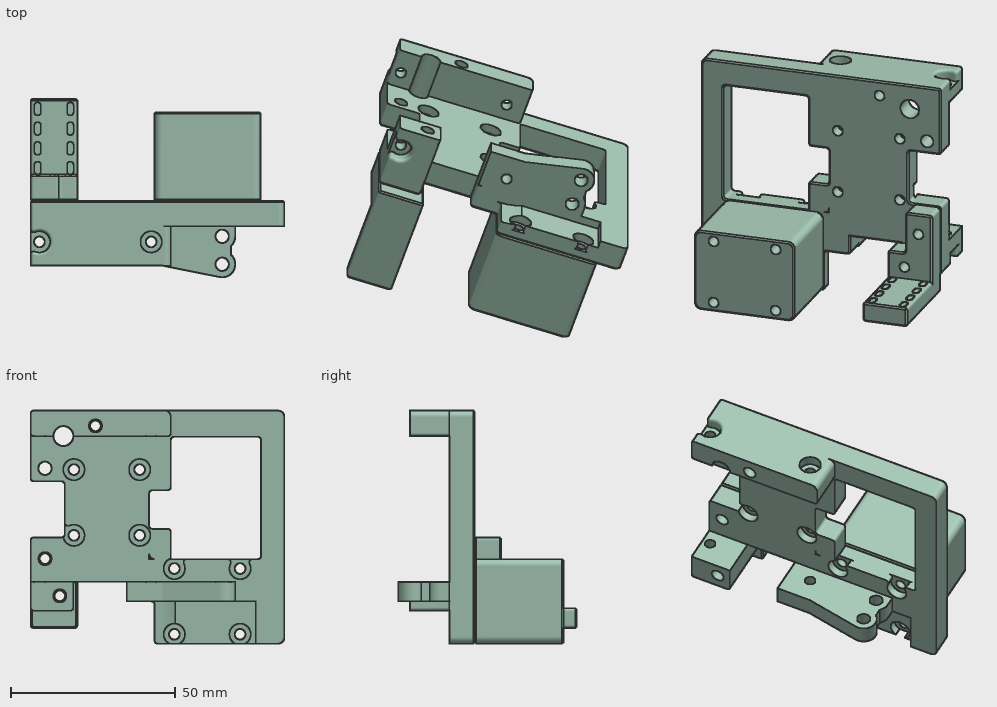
import cadquery as cq
import math

edge_radius = 1.0
outer_radius = 2.0
rim_radius = 0.98
edge_chamfer = 0.5
screw_d = 3.2
insert_d = 4.0
bore_d = 6.5
mouth_radius = 1.0
screw_pitch = 20.0

plate_width = 77.25
plate_height = 70.99
plate_thickness = 7.75
flange_length = 12.0
top_flange_width = 42.7
top_flange_z = 63.15
foot_width = 13.04
foot_z = 10.05
foot_top_z = 18.85
lever_x = 29.2
lever_z = 12.9
base_x = 37.7
notch_x = 10.4
notch_low_z = 32.4
notch_high_z = 49.4
window_left = 42.7
window_right = 70.1
window_low_z = 25.8
window_high_z = 62.95
slot_left = 36.1
slot_low_z = 35.0
slot_high_z = 46.7

carriage_x = 13.2
carriage_z = 33.0
carriage_bore_depth = 2.75
cover_screw_x = 43.75
cover_screw_z = 2.9
recess_bore_depth = 5.0
clamp_x = 4.4
clamp_low_z = 25.9
clamp_high_z = 53.4
foot_insert_x = 8.9
foot_insert_z = 14.6
flange_insert_x = 19.75
flange_insert_z = 66.3
rod_d = 6.0
rod_x = 10.0
rod_z = 63.2
belt_screw_x = 2.7
belt_screw_pitch = 34.0
belt_screw_y = -4.75
top_bore_depth = 3.3
foot_bore_depth = 4.0
relief_radius = 1.4

recess_depth = 2.4
recess_deep = 3.5
recess_flat_x = 44.0
recess_right = 68.45

lever_tip_x = 58.3
lever_tip_radius = 4.0
lever_hole_d = 4.0
lever_hole_y = -3.06
lever_hole_pitch = 8.5
lever_bend_x = 40.1
lever_neck_x = 61.0

bracket_width = 14.3
bracket_z = 4.75
bracket_wall = 8.0
bracket_length = 31.0
arm_top_z = 10.85
step_x = 8.6
shoulder_z = 19.25
step_radius = 1.2
slot_length = 4.0
slot_width = 2.0
slot_depth = 0.2
slot_count = 4
slot_pitch = 6.0
slot_first_y = 17.7
slot_column_x = (2.15, 12.1)

cover_right = 70.0
cover_corner_radius = 2.2
cover_length = 27.0


def rounded_prism(corners, y_front, y_back):
    """Extrude a closed XZ outline along Y; each corner is (x, z, rounding radius)."""
    stretches = []
    for i, (x, z, radius) in enumerate(corners):
        here = cq.Vector(x, z)
        to_last = (cq.Vector(*corners[i - 1][:2]) - here).normalized()
        to_next = (cq.Vector(*corners[(i + 1) % len(corners)][:2]) - here).normalized()
        if radius == 0:
            stretches.append([here])
            continue
        half_angle = to_last.getAngle(to_next) / 2
        setback = radius / math.tan(half_angle)
        bulge = radius / math.sin(half_angle) - radius
        middle = here + (to_last + to_next).normalized() * bulge
        stretches.append([here + to_last * setback, middle, here + to_next * setback])

    outline = cq.Workplane("XZ", origin=(0, y_front, 0)).moveTo(stretches[0][-1].x, stretches[0][-1].y)
    for stretch in stretches[1:] + stretches[:1]:
        outline = outline.lineTo(stretch[0].x, stretch[0].y)
        if len(stretch) > 1:
            outline = outline.threePointArc((stretch[1].x, stretch[1].y), (stretch[2].x, stretch[2].y))
    return outline.close().extrude(y_front - y_back)


def drill_y(x, z, diameter, y_front, y_back):
    """Cylinder along +Y between two depths."""
    axis = cq.Workplane("XZ", origin=(x, y_front, z))
    return axis.circle(diameter / 2).extrude(y_front - y_back)


def drill_z(x, y, diameter, z_low, z_high):
    """Cylinder along +Z between two heights."""
    return cq.Workplane("XY", origin=(x, y, z_low)).circle(diameter / 2).extrude(z_high - z_low)


def open_bore(mouth, outward, to_side, side_distance, depth, sides=(1, -1)):
    """Counterbore that breaks through a nearby side face, with its mouth edges rounded.

    `mouth` is the bore centre, `outward` its axis out of the part, `to_side` points at the side face.
    """
    plane = cq.Plane(origin=mouth, xDir=to_side, normal=outward)
    radius = bore_d / 2
    bore = cq.Workplane(plane).circle(radius).extrude(-depth)
    centre_x = side_distance - mouth_radius
    centre_y = math.sqrt((radius + mouth_radius) ** 2 - centre_x**2)
    touch = radius / (radius + mouth_radius)
    start_angle = math.atan2(-centre_y, -centre_x)
    middle_angle = start_angle / 2
    middle_x = centre_x + mouth_radius * math.cos(middle_angle)
    middle_y = centre_y + mouth_radius * math.sin(middle_angle)
    for side in sides:
        flare = (
            cq.Workplane(plane)
            .lineTo(centre_x * touch, side * centre_y * touch)
            .threePointArc((middle_x, side * middle_y), (side_distance, side * centre_y))
            .lineTo(side_distance, 0)
            .close()
            .extrude(-depth)
        )
        bore = bore.union(flare)
    return bore


def make_lever():
    """Tapered plate reaching forward, with a two-lobed end."""
    tip_y = lever_hole_y - lever_hole_pitch
    run = lever_tip_x - lever_bend_x
    rise = tip_y + flange_length
    angle = math.atan2(rise, run) - math.asin(lever_tip_radius / math.hypot(run, rise))
    tangent = (
        lever_tip_x + lever_tip_radius * math.sin(angle),
        tip_y - lever_tip_radius * math.cos(angle),
    )
    lobe_right = lever_tip_x + lever_tip_radius
    neck_half_chord = math.sqrt(lever_tip_radius**2 - (lever_neck_x - lever_tip_x) ** 2)
    lobe_rise = neck_half_chord / 2
    lobe_drop = lever_tip_radius - math.sqrt(lever_tip_radius**2 - lobe_rise**2)
    outline = (
        cq.Workplane("XY", origin=(0, 0, lever_z))
        .moveTo(lever_x, 0)
        .lineTo(lever_x, -flange_length)
        .lineTo(lever_bend_x, -flange_length)
        .lineTo(*tangent)
        .threePointArc((lobe_right, tip_y), (lever_neck_x, tip_y + neck_half_chord))
        .lineTo(lever_neck_x, lever_hole_y - neck_half_chord)
        .threePointArc(
            (lobe_right - lobe_drop, lever_hole_y - lobe_rise),
            (lobe_right, lever_hole_y),
        )
        .lineTo(lobe_right, 0)
        .close()
    )
    lever = outline.extrude(foot_top_z - lever_z)
    for y in (lever_hole_y, tip_y):
        lever = lever.cut(drill_z(lever_tip_x, y, lever_hole_d, lever_z, foot_top_z))
    return lever


def make_window():
    """Large opening with a side slot."""
    corners = [
        (window_left, window_low_z, 0),
        (window_right, window_low_z, edge_radius),
        (window_right, window_high_z, edge_radius),
        (window_left, window_high_z, edge_radius),
        (window_left, slot_high_z, edge_radius),
        (slot_left, slot_high_z, edge_radius),
        (slot_left, slot_low_z, edge_radius),
        (window_left, slot_low_z, edge_radius),
    ]
    return rounded_prism(corners, 0, plate_thickness)


def make_relief():
    """Tiny three-sided opening with a concave long side."""
    centre_x = slot_left + relief_radius
    centre_z = window_low_z + relief_radius
    reach = relief_radius * math.sqrt(0.5)
    return (
        cq.Workplane("XZ")
        .moveTo(slot_left, window_low_z)
        .lineTo(centre_x, window_low_z)
        .threePointArc((centre_x - reach, centre_z - reach), (slot_left, centre_z))
        .close()
        .extrude(-plate_thickness)
    )


def make_recess():
    """Front recess under the lever; its floor curves deeper towards the left edge."""
    run = recess_flat_x - base_x
    drop = recess_deep - recess_depth
    radius = (run**2 + drop**2) / (2 * drop)
    middle = (base_x + run / 2, recess_deep - radius + math.sqrt(radius**2 - run**2 / 4))
    return (
        cq.Workplane("XY")
        .moveTo(base_x - edge_radius, 0)
        .lineTo(base_x - edge_radius, recess_deep)
        .lineTo(base_x, recess_deep)
        .threePointArc(middle, (recess_flat_x, recess_depth))
        .lineTo(recess_right, recess_depth)
        .lineTo(recess_right, 0)
        .close()
        .extrude(lever_z)
    )


def screw_group(x, z):
    """The four (x, z) places of a square screw group, from its lower-left one."""
    return [(x + i * screw_pitch, z + j * screw_pitch) for j in (0, 1) for i in (0, 1)]


def make_plate_blank():
    """Plate outline without openings, plus the top flange, the foot and the lever."""
    outline = [
        (0, foot_z, 0),
        (foot_width, foot_z, edge_radius),
        (foot_width, foot_top_z, 0),
        (lever_x, foot_top_z, 0),
        (lever_x, lever_z, edge_radius),
        (base_x, lever_z, edge_radius),
        (base_x, 0, edge_radius),
        (plate_width, 0, outer_radius),
        (plate_width, plate_height, outer_radius),
        (0, plate_height, 0),
        (0, notch_high_z, edge_radius),
        (notch_x, notch_high_z, edge_radius),
        (notch_x, notch_low_z, edge_radius),
        (0, notch_low_z, edge_radius),
    ]
    top_flange = [
        (0, top_flange_z, edge_radius),
        (top_flange_width, top_flange_z, edge_radius),
        (top_flange_width, plate_height, outer_radius),
        (0, plate_height, 0),
    ]
    foot = [
        (0, foot_z, 0),
        (foot_width, foot_z, edge_radius),
        (foot_width, foot_top_z, 0),
        (0, foot_top_z, 0),
    ]
    blank = rounded_prism(outline, 0, plate_thickness)
    blank = blank.union(rounded_prism(top_flange, -flange_length, 0))
    blank = blank.union(rounded_prism(foot, -flange_length, 0))
    return blank.union(make_lever())


def cut_belt_screws(plate):
    """Vertical screws: open counterbores at the left edge, a plain one further right."""
    right_x = belt_screw_x + belt_screw_pitch
    for x in (belt_screw_x, right_x):
        plate = plate.cut(drill_z(x, belt_screw_y, screw_d, foot_z, plate_height))
    top_mouth = (belt_screw_x, belt_screw_y, plate_height)
    foot_mouth = (belt_screw_x, belt_screw_y, foot_z)
    plate = plate.cut(open_bore(top_mouth, (0, 0, 1), (-1, 0, 0), belt_screw_x, top_bore_depth))
    plate = plate.cut(open_bore(foot_mouth, (0, 0, -1), (-1, 0, 0), belt_screw_x, foot_bore_depth))
    return plate.cut(drill_z(right_x, belt_screw_y, bore_d, plate_height - top_bore_depth, plate_height))


def round_left_edges(plate):
    """Round the left ends of the top and foot faces, together with the rims of their open bores."""
    rim_reach = belt_screw_x + bore_d / 2 + edge_radius
    for z in (plate_height, foot_z):
        low = (-edge_radius, -flange_length - edge_radius, z - edge_chamfer / 2)
        high = (rim_reach, plate_thickness + edge_radius, z + edge_chamfer / 2)
        rim = cq.selectors.BoxSelector(low, high, boundingbox=True)
        plate = plate.edges(rim).fillet(rim_radius)
    return plate


def make_plate():
    plate = round_left_edges(cut_belt_screws(make_plate_blank()))
    plate = plate.cut(make_window()).faces(">Y").chamfer(edge_chamfer)
    plate = plate.cut(make_relief()).cut(make_recess())

    for x, z in screw_group(carriage_x, carriage_z):
        plate = plate.cut(drill_y(x, z, screw_d, -flange_length, plate_thickness))
        plate = plate.cut(drill_y(x, z, bore_d, 0, carriage_bore_depth))
    notch_side = carriage_x - notch_x
    notch_mouth = (carriage_x, 0, carriage_z)
    plate = plate.cut(
        open_bore(notch_mouth, (0, -1, 0), (-1, 0, 0), notch_side, carriage_bore_depth, sides=(-1,))
    )

    for x, z in screw_group(cover_screw_x, cover_screw_z):
        plate = plate.cut(drill_y(x, z, screw_d, 0, plate_thickness))
    upper_z = cover_screw_z + screw_pitch
    window_side = window_low_z - upper_z
    for x, sides in ((cover_screw_x, (-1,)), (cover_screw_x + screw_pitch, (1, -1))):
        plate = plate.cut(drill_y(x, cover_screw_z, bore_d, 0, recess_bore_depth))
        mouth = (x, 0, upper_z)
        plate = plate.cut(
            open_bore(mouth, (0, -1, 0), (0, 0, 1), window_side, carriage_bore_depth, sides)
        )

    for z in (clamp_low_z, clamp_high_z):
        plate = plate.cut(drill_y(clamp_x, z, insert_d, 0, plate_thickness))
    plate = plate.cut(drill_y(foot_insert_x, foot_insert_z, insert_d, -flange_length, plate_thickness))
    plate = plate.cut(drill_y(flange_insert_x, flange_insert_z, insert_d, -flange_length, 0))
    plate = plate.cut(drill_y(flange_insert_x, flange_insert_z, screw_d, 0, plate_thickness))
    return plate.cut(drill_y(rod_x, rod_z, rod_d, -flange_length, plate_thickness))


def make_bracket():
    """L-shaped bracket: a stepped wall against the plate and an arm reaching backwards."""
    wall_back = plate_thickness + bracket_wall
    arm_back = plate_thickness + bracket_length
    wall_outline = [
        (0, bracket_z, edge_radius),
        (bracket_width, bracket_z, edge_radius),
        (bracket_width, shoulder_z, edge_radius),
        (step_x, shoulder_z, step_radius),
        (step_x, notch_low_z, edge_radius),
        (0, notch_low_z, edge_radius),
    ]
    arm_outline = [
        (0, bracket_z, edge_radius),
        (bracket_width, bracket_z, edge_radius),
        (bracket_width, arm_top_z, edge_radius),
        (0, arm_top_z, edge_radius),
    ]
    wall = rounded_prism(wall_outline, plate_thickness, wall_back)
    wall = wall.faces("<Y or >Y").chamfer(edge_chamfer)
    arm = rounded_prism(arm_outline, plate_thickness + bracket_wall / 2, arm_back)
    arm = arm.faces(">Y").chamfer(edge_chamfer)
    bracket = wall.union(arm)

    for x, z in ((clamp_x, clamp_low_z), (foot_insert_x, foot_insert_z)):
        bracket = bracket.cut(drill_y(x, z, screw_d, plate_thickness, wall_back))
    slot_places = [(x, slot_first_y + i * slot_pitch) for x in slot_column_x for i in range(slot_count)]
    slots = (
        cq.Workplane("XY", origin=(0, 0, arm_top_z))
        .pushPoints(slot_places)
        .slot2D(slot_length, slot_width, 90)
        .extrude(-slot_depth)
    )
    return bracket.cut(slots)


def make_cover():
    """Rounded block on the back of the plate, level with the window floor and held by four screws."""
    cover_back = plate_thickness + cover_length
    outline = [
        (base_x, 0, cover_corner_radius),
        (cover_right, 0, cover_corner_radius),
        (cover_right, window_low_z, cover_corner_radius),
        (base_x, window_low_z, cover_corner_radius),
    ]
    cover = rounded_prism(outline, plate_thickness, cover_back)
    cover = cover.faces("<Y or >Y").chamfer(edge_chamfer)
    for x, z in screw_group(cover_screw_x, cover_screw_z):
        cover = cover.cut(drill_y(x, z, screw_d, plate_thickness, cover_back))
    return cover


plate = make_plate()
bracket = make_bracket()
cover = make_cover()
result = cq.Compound.makeCompound([plate.val(), bracket.val(), cover.val()])